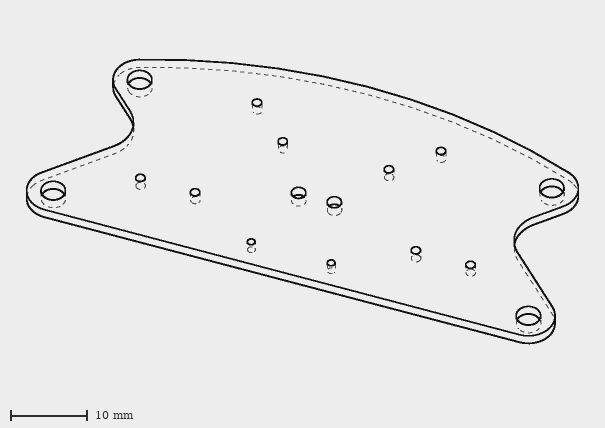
import cadquery as cq
import math

length = 72.7
width = 33.95
thickness = 1.5

corner_radius = 3.5
mount_diameter = 3.2
lower_x = length / 2 - corner_radius
lower_y = corner_radius
upper_x = 28.5
upper_y = 25.3

notch_radius = 4.5

hole_pairs = [
    (1.2, 12.7, 26.6),
    (1.2, 7.35, 21.4),
    (1.9, 2.5, 13.7),
    (1.2, 22.8, 9.3),
    (1.2, 15.3, 9.3),
    (1.0, 5.5, 3.6),
]


def on_circle(center, radius, degrees):
    angle = math.radians(degrees)
    return (center[0] + radius * math.cos(angle), center[1] + radius * math.sin(angle))


def mirrored(point):
    return (-point[0], point[1])


corner_drop = width - upper_y
crown_radius = (upper_x**2 + corner_drop**2 - corner_radius**2) / (2 * (corner_drop - corner_radius))
crown_center_y = width - crown_radius
crown_end_angle = math.degrees(math.atan2(upper_y - crown_center_y, upper_x))

flank_gap = math.sqrt(2) * (corner_radius + notch_radius)
notch_center = (
    (lower_x + upper_x + lower_y - upper_y) / 2 + flank_gap,
    (lower_x - upper_x + lower_y + upper_y) / 2,
)


def plate():
    lower = (lower_x, lower_y)
    upper = (upper_x, upper_y)
    upper_mid_angle = (crown_end_angle - 45) / 2

    lower_start = on_circle(lower, corner_radius, -90)
    lower_mid = on_circle(lower, corner_radius, -22.5)
    lower_end = on_circle(lower, corner_radius, 45)
    root_start = on_circle(notch_center, notch_radius, 225)
    root_mid = on_circle(notch_center, notch_radius, 180)
    root_end = on_circle(notch_center, notch_radius, 135)
    upper_start = on_circle(upper, corner_radius, -45)
    upper_mid = on_circle(upper, corner_radius, upper_mid_angle)
    upper_end = on_circle(upper, corner_radius, crown_end_angle)

    return (
        cq.Workplane("XY")
        .moveTo(*lower_start)
        .threePointArc(lower_mid, lower_end)
        .lineTo(*root_start)
        .threePointArc(root_mid, root_end)
        .lineTo(*upper_start)
        .threePointArc(upper_mid, upper_end)
        .threePointArc((0, width), mirrored(upper_end))
        .threePointArc(mirrored(upper_mid), mirrored(upper_start))
        .lineTo(*mirrored(root_end))
        .threePointArc(mirrored(root_mid), mirrored(root_start))
        .lineTo(*mirrored(lower_end))
        .threePointArc(mirrored(lower_mid), mirrored(lower_start))
        .close()
        .extrude(thickness)
    )


def hole_pair(diameter, x, y):
    """Cutters for two through holes placed symmetrically about the centre line."""
    return cq.Workplane("XY").pushPoints([(x, y), (-x, y)]).circle(diameter / 2).extrude(thickness)


result = plate()
mount_pairs = [(mount_diameter, lower_x, lower_y), (mount_diameter, upper_x, upper_y)]
for diameter, x, y in mount_pairs + hole_pairs:
    result = result.cut(hole_pair(diameter, x, y))